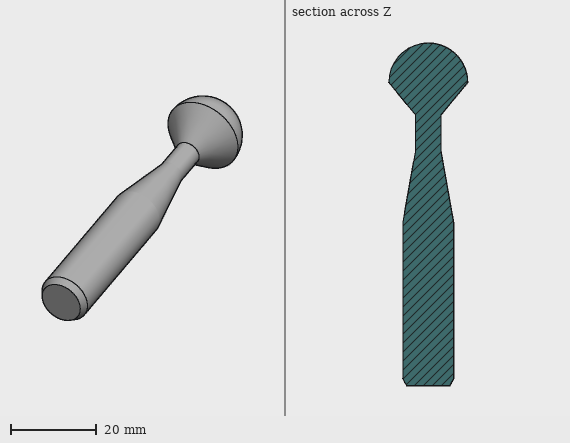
import cadquery as cq

total_length = 80.0
ball_diameter = 18.5
neck_diameter = 6.0
shank_diameter = 12.0
tip_diameter = 10.1

tip_chamfer_length = 1.8
shank_length = 37.9
taper_length = 16.9
neck_length = 8.4

ball_radius = ball_diameter / 2
neck_radius = neck_diameter / 2
shank_radius = shank_diameter / 2
tip_radius = tip_diameter / 2
taper_end = shank_length + taper_length
neck_end = taper_end + neck_length
ball_center = total_length - ball_radius

profile = (
    cq.Workplane("XY")
    .lineTo(tip_radius, 0)
    .lineTo(shank_radius, tip_chamfer_length)
    .lineTo(shank_radius, shank_length)
    .lineTo(neck_radius, taper_end)
    .lineTo(neck_radius, neck_end)
    .lineTo(ball_radius, ball_center)
    .radiusArc((0, total_length), -ball_radius)
    .close()
)

result = profile.revolve(360, (0, 0, 0), (0, 1, 0))